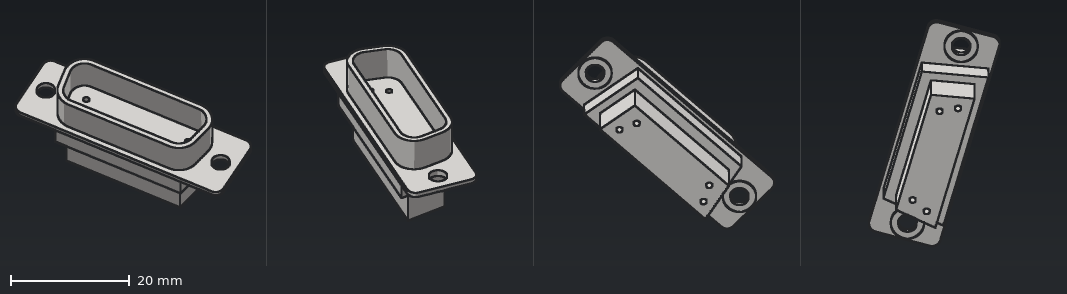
import cadquery as cq
import math

flange_length = 39.4
flange_width = 12.5
flange_thickness = 0.9
flange_corner_radius = 1.5
flange_bottom = -flange_thickness

mount_offset = 16.63
mount_hole_diameter = 3.1
pad_diameter = 5.65
pad_thickness = 0.3

shell_height = 6.0
shell_depth = 10.4
shell_front_width = 25.05
shell_wall = 1.0
shell_corner_radius = 3.5
side_angle = math.radians(10)

body_height = 4.1
body_depth = 11.07
body_front_width = 23.88
body_back_width = 27.9

block_height = 6.6
block_depth = 7.25
block_front_width = 21.67
block_back_width = 24.3
block_bottom = flange_bottom - body_height - block_height

contact_diameter = 1.02
contact_row_offset = 1.4
back_contact_offset = 9.7
front_contact_offset = 8.35


def trapezoid(front_width, back_width, depth, height, bottom):
    """Prism that is widest at the back (+Y) and centred on the Z axis."""
    return (
        cq.Workplane("XY", origin=(0, 0, bottom))
        .moveTo(-front_width / 2, -depth / 2)
        .lineTo(front_width / 2, -depth / 2)
        .lineTo(back_width / 2, depth / 2)
        .lineTo(-back_width / 2, depth / 2)
        .close()
        .extrude(height)
    )


def d_prism(inset, height, bottom):
    """Rounded D prism, with every wall moved inward by inset."""
    depth = shell_depth - 2 * inset
    side_inset = inset * (1 / math.cos(side_angle) - math.tan(side_angle))
    front_width = shell_front_width - 2 * side_inset
    back_width = front_width + 2 * depth * math.tan(side_angle)
    prism = trapezoid(front_width, back_width, depth, height, bottom)
    return prism.edges("|Z").fillet(shell_corner_radius - inset)


def cylinders(points, diameter, height, bottom):
    """Equal vertical cylinders standing on one level."""
    base = cq.Workplane("XY", origin=(0, 0, bottom))
    return base.pushPoints(points).circle(diameter / 2).extrude(height)


mount_points = [(side * mount_offset, 0) for side in (-1, 1)]
contact_points = []
for side in (-1, 1):
    contact_points.append((side * back_contact_offset, contact_row_offset))
    contact_points.append((side * front_contact_offset, -contact_row_offset))

flange = (
    cq.Workplane("XY", origin=(0, 0, flange_bottom))
    .rect(flange_length, flange_width)
    .extrude(flange_thickness)
    .edges("|Z")
    .fillet(flange_corner_radius)
)
pads = cylinders(mount_points, pad_diameter, pad_thickness, flange_bottom - pad_thickness)
mount_holes = cylinders(
    mount_points, mount_hole_diameter, flange_thickness + pad_thickness, flange_bottom - pad_thickness
)
shell = d_prism(0, shell_height, 0)
cavity = d_prism(shell_wall, shell_height, 0)
body = trapezoid(
    body_front_width, body_back_width, body_depth, body_height, flange_bottom - body_height
)
block = trapezoid(
    block_front_width, block_back_width, block_depth, block_height, block_bottom
)
contact_holes = cylinders(
    contact_points, contact_diameter, shell_height - block_bottom, block_bottom
)

result = (
    flange.union(pads)
    .cut(mount_holes)
    .union(shell)
    .union(body)
    .union(block)
    .cut(cavity)
    .cut(contact_holes)
)